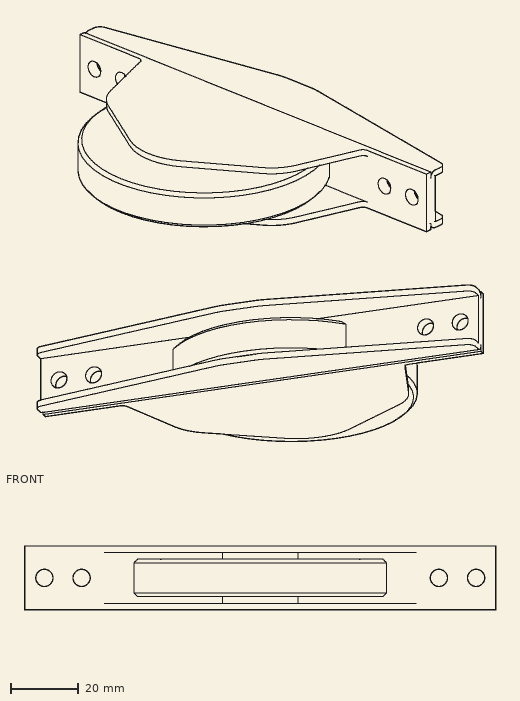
import cadquery as cq


length = 140.0
height = 19.0
sheet = 2.0

wheel_radius = 37.5
wheel_width = 11.2
wheel_chamfer = 1.1
hub_radius = 11.2

web_front = 21.4
web_middle = web_front + sheet
web_back = web_middle + sheet

front_root_half = 44.8
front_corner_half = 35.7
front_corner_y = -5.5
front_apex_y = -27.7
front_root_radius = 2.0
front_corner_radius = 15.0
front_apex_radius = 19.6

rear_end_y = 29.7
rear_top_y = 41.5
rear_top_half = 6.5
rear_end_radius = 2.5
rear_top_radius = 19.6

hole_diameter = 5.0
hole_positions = (53.0, 64.1)

flange_bottom = height / 2 - sheet


def make_front_sheet():
    """Upright half of the web with a tapering flange at top and bottom."""
    web = cq.Workplane("XY").box(length, sheet, height).translate((0, web_front + sheet / 2, 0))
    flange = (
        cq.Workplane("XY", origin=(0, 0, flange_bottom))
        .moveTo(-length / 2, web_middle)
        .lineTo(-length / 2, web_front)
        .lineTo(-front_root_half, web_front)
        .lineTo(-front_corner_half, front_corner_y)
        .lineTo(0, front_apex_y)
        .lineTo(front_corner_half, front_corner_y)
        .lineTo(front_root_half, web_front)
        .lineTo(length / 2, web_front)
        .lineTo(length / 2, web_middle)
        .close()
        .extrude(sheet)
    )
    for x, y, radius in (
        (front_root_half, web_front, front_root_radius),
        (front_corner_half, front_corner_y, front_corner_radius),
        (0, front_apex_y, front_apex_radius),
    ):
        flange = fillet_upright_edges(flange, x, y, radius)
    return web.union(flange).union(flange.mirror("XY"))


def make_rear_sheet():
    """Back half of the web with a pointed flange at top and bottom, rounded along the fold."""
    web = cq.Workplane("XY").box(length, sheet, height).translate((0, web_middle + sheet / 2, 0))
    flange = (
        cq.Workplane("XY", origin=(0, 0, flange_bottom))
        .moveTo(-length / 2, web_middle)
        .lineTo(length / 2, web_middle)
        .lineTo(length / 2, rear_end_y)
        .lineTo(rear_top_half, rear_top_y)
        .lineTo(-rear_top_half, rear_top_y)
        .lineTo(-length / 2, rear_end_y)
        .close()
        .extrude(sheet)
    )
    flange = fillet_upright_edges(flange, length / 2, rear_end_y, rear_end_radius)
    flange = fillet_upright_edges(flange, rear_top_half, rear_top_y, rear_top_radius)
    channel = web.union(flange).union(flange.mirror("XY"))
    fold_block = cq.Workplane("XY").box(length, sheet, sheet)
    fold_rod = cq.Workplane("YZ").circle(sheet).extrude(length / 2, both=True)
    fold_waste = fold_block.translate((0, -sheet / 2, sheet / 2)).cut(fold_rod)
    fold_waste = fold_waste.translate((0, web_back, flange_bottom))
    return channel.cut(fold_waste).cut(fold_waste.mirror("XY"))


def fillet_upright_edges(body, x, y, radius):
    """Round the vertical edges at (x, y) and at its mirror image (-x, y)."""
    reach = 0.01
    for side in {x, -x}:
        box = cq.selectors.BoxSelector(
            (side - reach, y - reach, -height), (side + reach, y + reach, height)
        )
        body = body.edges("|Z").edges(box).fillet(radius)
    return body


def make_wheel():
    """Chamfered wheel on a hub that reaches both front flanges."""
    rim = cq.Workplane("XY").circle(wheel_radius).extrude(wheel_width / 2, both=True)
    rim = rim.edges("%CIRCLE and (>Z or <Z)").chamfer(wheel_chamfer)
    hub = cq.Workplane("XY").circle(hub_radius).extrude(flange_bottom, both=True)
    return rim.union(hub)


bracket = make_front_sheet().union(make_rear_sheet())

hole_points = [(side * x, 0) for side in (-1, 1) for x in hole_positions]
holes = (
    cq.Workplane("XZ", origin=(0, web_back, 0))
    .pushPoints(hole_points)
    .circle(hole_diameter / 2)
    .extrude(web_back - web_front)
)

result = bracket.cut(holes).union(make_wheel())